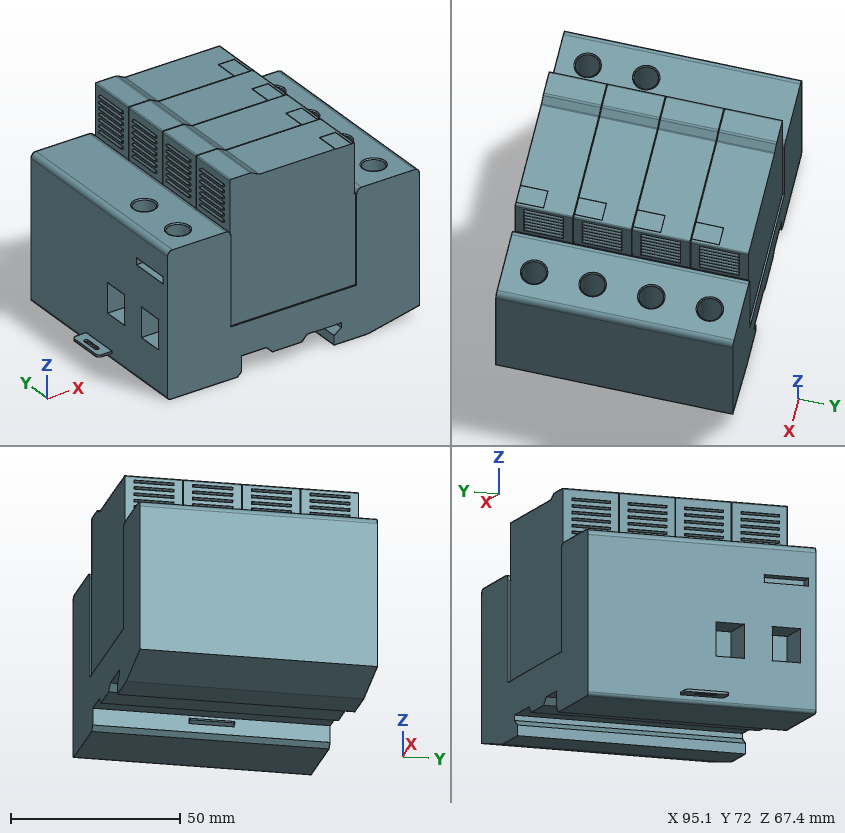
import cadquery as cq

overall_length = 95.1
body_length = 90.0
body_width = 72.0
shoulder_height = 50.5
top_fillet = 1.8
bottom_fillet = 1.0

notch_left = 26.5
notch_right = 62.1
notch_top = 6.75
notch_lip = 59.5
lip_bottom = 3.2
lip_top = 5.1
left_jaw_chamfer = 1.5
pad_bottom = 4.7
pad_chamfer = 2.1
pad_left = 37.5
pad_right = 47.9
slope_start = 71.6
slope_end_height = 3.9

channel_left = 22.6
channel_right = 67.6
channel_floor = 17.8
seat_top = shoulder_height - top_fillet

module_count = 4
module_pitch = 17.8
module_gap = 0.3
module_width = module_pitch - module_gap
module_right = 67.2
module_top = 66.0
ridge_top = 67.4
ridge_edge = 30.3
ridge_foot = 33.1
ridge_edge_fillet = 1.6
ridge_foot_fillet = 0.7
module_edge_fillet = 0.4

marker_left = 60.4
marker_length = 5.7
marker_width = 8.4
marker_depth = 0.1

rib_count = 7
rib_pitch = 2.0
rib_first_height = 52.2
rib_length = 12.0
rib_thickness = 0.7
rib_projection = 0.8
rib_tip_fillet = 0.3

left_terminal_count = 2
screw_inset = 10.1
screw_diameter = 7.3
screw_chamfer = 0.4
screw_depth = 19
opening_width = 8.9
opening_bottom = 14.9
opening_height = 10.4
opening_depth = 11.4
label_slot_length = 14.0
label_slot_height = 2.4
label_slot_depth = 3.8
label_slot_bottom = 38.4
label_slot_inset = 2.4

latch_projection = overall_length - body_length
latch_width = 13.6
latch_bottom = 2.4
latch_thickness = 0.8
latch_corner = 1.3
latch_slot_length = 6.75
latch_slot_width = 1.3
latch_slot_center = -2.8
catch_top = 5.6
catch_bottom = 4.2
catch_tip_height = 4.9
catch_flat = 0.8
catch_reach = 1.3

pick_margin = 0.02

module_centers = [(i - (module_count - 1) / 2) * module_pitch for i in range(module_count)]
left_terminals = module_centers[:left_terminal_count]
seat_width = (module_count - 1) * module_pitch + module_width


def box(x0, x1, y_center, width, z0, z1):
    return cq.Workplane("XY").box(x1 - x0, width, z1 - z0).translate(
        ((x0 + x1) / 2, y_center, (z0 + z1) / 2)
    )


def extrude_profile(points, width, y_center=0.0):
    """Extrude a closed XZ outline symmetrically about y_center."""
    outline = cq.Workplane("XZ", origin=(0, y_center, 0)).polyline(points).close()
    return outline.extrude(width / 2, both=True)


def fillet_at(solid, radius, corners):
    """Round the edges along Y that pass through the given XZ corners."""
    selector = None
    for x, z in corners:
        near = cq.selectors.BoxSelector(
            (x - pick_margin, -body_width, z - pick_margin), (x + pick_margin, body_width, z + pick_margin)
        )
        selector = near if selector is None else selector + near
    return solid.edges(selector).fillet(radius)


def make_body():
    outline = [
        (0, 0),
        (notch_left - left_jaw_chamfer, 0),
        (notch_left, left_jaw_chamfer),
        (notch_left, notch_top),
        (pad_left - pad_chamfer, notch_top),
        (pad_left, pad_bottom),
        (pad_right, pad_bottom),
        (pad_right + pad_chamfer, notch_top),
        (notch_right, notch_top),
        (notch_right, lip_top),
        (notch_lip, lip_bottom),
        (notch_lip, 0),
        (slope_start, 0),
        (body_length, slope_end_height),
        (body_length, shoulder_height),
        (channel_right, shoulder_height),
        (channel_right, channel_floor),
        (channel_left, channel_floor),
        (channel_left, shoulder_height),
        (0, shoulder_height),
    ]
    body = extrude_profile(outline, body_width)
    shoulder_edges = [(x, shoulder_height) for x in (0, channel_left, channel_right, body_length)]
    body = fillet_at(body, top_fillet, shoulder_edges)
    return fillet_at(body, bottom_fillet, [(0, 0)])


def make_module(y_center):
    outline = [
        (channel_left, seat_top),
        (module_right, seat_top),
        (module_right, module_top),
        (ridge_foot, module_top),
        (ridge_edge, ridge_top),
        (channel_left, ridge_top),
    ]
    module = extrude_profile(outline, module_width, y_center)
    module = fillet_at(module, ridge_edge_fillet, [(ridge_edge, ridge_top)])
    module = fillet_at(module, ridge_foot_fillet, [(ridge_foot, module_top)])
    end_edges = [(channel_left, ridge_top), (module_right, module_top)]
    module = fillet_at(module, module_edge_fillet, end_edges)

    marker_y = y_center - (module_width - marker_width) / 2
    module = module.cut(
        box(marker_left, marker_left + marker_length, marker_y, marker_width,
            module_top - marker_depth, module_top)
    )

    for i in range(rib_count):
        rib_z = rib_first_height + i * rib_pitch
        rib = box(channel_left - rib_projection, module_right + rib_projection, y_center, rib_length,
                  rib_z - rib_thickness / 2, rib_z + rib_thickness / 2)
        module = module.union(rib.edges("|Y").fillet(rib_tip_fillet))
    return module


def make_screw_hole(x, y):
    radius = screw_diameter / 2
    top = cq.Workplane("XY", origin=(x, y, shoulder_height))
    hole = top.circle(radius).extrude(-screw_depth)
    countersink = top.circle(radius + screw_chamfer).extrude(-screw_chamfer, taper=45)
    return hole.union(countersink)


def make_latch():
    tab = box(-latch_projection, notch_left, 0, latch_width,
              latch_bottom, latch_bottom + latch_thickness)
    tab = tab.edges("|Z and <X").fillet(latch_corner)
    slot = (
        cq.Workplane("XY", origin=(latch_slot_center, 0, latch_bottom))
        .slot2D(latch_slot_length, latch_slot_width, 90)
        .extrude(latch_thickness)
    )
    catch = extrude_profile(
        [
            (notch_left, catch_bottom),
            (notch_left + catch_reach, catch_tip_height),
            (notch_left + catch_flat, catch_top),
            (notch_left, catch_top),
        ],
        latch_width,
    )
    return tab.cut(slot), catch


result = make_body()

for y in left_terminals:
    result = result.cut(make_screw_hole(screw_inset, y))
for y in module_centers:
    result = result.cut(make_screw_hole(body_length - screw_inset, y))

for y in left_terminals:
    result = result.cut(
        box(0, opening_depth, y, opening_width, opening_bottom, opening_bottom + opening_height)
    )
label_slot_y = (label_slot_length - body_width) / 2 + label_slot_inset
result = result.cut(
    box(0, label_slot_depth, label_slot_y, label_slot_length,
        label_slot_bottom, label_slot_bottom + label_slot_height)
)

result = result.union(box(channel_left, channel_right, 0, seat_width, channel_floor, seat_top))
for y in module_centers:
    result = result.union(make_module(y))

for latch_piece in make_latch():
    result = result.union(latch_piece)